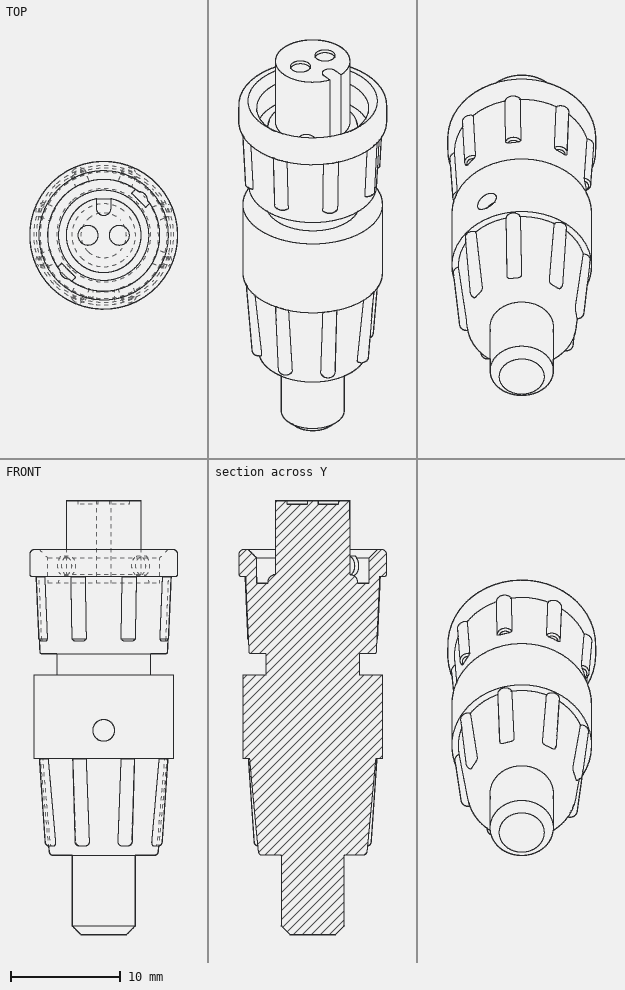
import cadquery as cq

total_length = 39.57
sleeve_bottom = 7.25
collar_bottom = 16.05
collar_top = 23.7
grip_bottom = 25.6
rim_bottom = 32.65
rim_top = 35.15
socket_floor = 32.05

cable_radius = 2.9
cable_chamfer = 0.85

sleeve_bottom_radius = 4.95
sleeve_top_radius = 5.78
sleeve_fillet = 0.4

collar_radius = 6.37
neck_radius = 4.27
collar_hole_radius = 1.0
collar_hole_height = 18.65
collar_hole_depth = 1.2

grip_bottom_radius = 5.8
grip_top_radius = 6.15
grip_fillet = 0.2
rim_diameter = 13.5
rim_radius = rim_diameter / 2
rim_top_fillet = 0.47
rim_bottom_fillet = 0.2

socket_radius = 5.1
socket_mouth_radius = 5.9
socket_mouth_depth = socket_mouth_radius - socket_radius
lug_radius = 0.9
lug_face_distance = 4.5
lug_height = 33.65
lug_angles = (45, 225)

insert_radius = 3.4
boss_radius = 4.1
boss_height = 0.8
contact_radius = 0.9
contact_offset = 1.42
contact_depth = 0.3
key_width = 1.3
key_center_y = 2.45
key_end_y = 3.32

rib_count = 8
rib_pitch = 360 / rib_count
sleeve_rib_radius = 0.67
sleeve_rib_fillet = 0.4
sleeve_rib_bottom = 8.1
sleeve_rib_axis_bottom = 5.03
sleeve_rib_axis_top = 5.6
grip_rib_radius = 0.75
grip_rib_bottom = 26.8
grip_rib_axis_bottom = 5.58
grip_rib_axis_top = 5.85
grip_rib_chamfer = 0.2


def cylinder(radius, bottom, top):
    """Cylinder on the plug axis between two levels."""
    return cq.Workplane("XY").workplane(offset=bottom).circle(radius).extrude(top - bottom)


def cone(bottom_radius, top_radius, bottom, top):
    """Cone frustum on the plug axis between two levels."""
    base = cq.Vector(0, 0, bottom)
    return cq.Workplane(cq.Solid.makeCone(bottom_radius, top_radius, top - bottom, base))


def turned(body, angle):
    """Body turned about the plug axis by an angle in degrees."""
    return body.rotate((0, 0, 0), (0, 0, 1), angle)


def straight_rod(radius, start, end):
    """Round rod between two points."""
    axis = end - start
    return cq.Workplane(cq.Solid.makeCylinder(radius, axis.Length, start, axis))


def with_ribs(body, rib):
    """Join a ring of ribs to a body; the ribs straddle the X and Y directions."""
    for index in range(rib_count):
        angle = (index + 0.5) * rib_pitch
        body = body.union(turned(rib, angle))
    return body


def make_cable():
    cable = cylinder(cable_radius, 0, collar_bottom)
    return cable.faces("<Z").edges().chamfer(cable_chamfer)


def make_sleeve():
    sleeve = cone(sleeve_bottom_radius, sleeve_top_radius, sleeve_bottom, collar_bottom)
    sleeve = sleeve.faces("<Z").edges().fillet(sleeve_fillet)
    rib_start = cq.Vector(sleeve_rib_axis_bottom, 0, sleeve_rib_bottom)
    rib_end = cq.Vector(sleeve_rib_axis_top, 0, collar_bottom)
    rib = straight_rod(sleeve_rib_radius, rib_start, rib_end)
    rib = rib.faces("<Z").edges().fillet(sleeve_rib_fillet)
    return with_ribs(sleeve, rib)


def make_collar():
    """Collar with a blind radial hole on -Y whose floor is concentric with the collar."""
    collar = cylinder(collar_radius, collar_bottom, collar_top)
    hole_start = cq.Vector(0, 0, collar_hole_height)
    hole_end = cq.Vector(0, -collar_radius, collar_hole_height)
    hole = straight_rod(collar_hole_radius, hole_start, hole_end)
    hole = hole.cut(cylinder(collar_radius - collar_hole_depth, collar_bottom, collar_top))
    return collar.cut(hole)


def make_grip():
    grip = cone(grip_bottom_radius, grip_top_radius, grip_bottom, rim_bottom)
    grip = grip.faces("<Z").edges().fillet(grip_fillet)
    rib_start = cq.Vector(grip_rib_axis_bottom, 0, grip_rib_bottom)
    rib_end = cq.Vector(grip_rib_axis_top, 0, rim_bottom)
    rib = straight_rod(grip_rib_radius, rib_start, rib_end)
    rib = rib.faces("<Z").edges().chamfer(grip_rib_chamfer)
    grip = with_ribs(grip, rib)

    rim = cylinder(rim_radius, rim_bottom, rim_top)
    rim = rim.faces(">Z").edges().fillet(rim_top_fillet)
    rim = rim.faces("<Z").edges().fillet(rim_bottom_fillet)
    return grip.union(rim)


def cut_socket(grip):
    """Bore the socket, flare its mouth and add the two flat-ended bayonet lugs."""
    bore = cylinder(socket_radius, socket_floor, rim_top)
    mouth = cone(socket_radius, socket_mouth_radius, rim_top - socket_mouth_depth, rim_top)
    grip = grip.cut(bore).cut(mouth)
    lug_start = cq.Vector(lug_face_distance, 0, lug_height)
    lug_end = cq.Vector(socket_mouth_radius, 0, lug_height)
    lug = straight_rod(lug_radius, lug_start, lug_end)
    for angle in lug_angles:
        grip = grip.union(turned(lug, angle))
    return grip


def make_insert():
    """Round-shouldered boss carrying the insert, with contact recesses and a keyway."""
    boss_top = socket_floor + boss_height
    boss = cylinder(boss_radius, socket_floor, boss_top)
    boss = boss.faces(">Z").edges().fillet(boss_radius - insert_radius)
    insert = boss.union(cylinder(insert_radius, socket_floor, total_length))

    contacts = (
        cq.Workplane("XY")
        .workplane(offset=total_length - contact_depth)
        .pushPoints([(-contact_offset, 0), (contact_offset, 0)])
        .circle(contact_radius)
        .extrude(contact_depth)
    )
    half_key = key_width / 2
    keyway = (
        cq.Workplane("XY")
        .workplane(offset=socket_floor)
        .moveTo(half_key, key_end_y)
        .lineTo(half_key, key_center_y)
        .threePointArc((0, key_center_y - half_key), (-half_key, key_center_y))
        .lineTo(-half_key, key_end_y)
        .close()
        .extrude(total_length - socket_floor)
    )
    key_opening = (
        cq.Workplane("XY")
        .workplane(offset=boss_top)
        .center(0, (key_center_y + insert_radius) / 2)
        .rect(key_width, insert_radius - key_center_y)
        .extrude(total_length - boss_top)
    )
    return insert.cut(contacts).cut(keyway).cut(key_opening)


neck = cylinder(neck_radius, collar_top, grip_bottom)
grip = cut_socket(make_grip())
result = (
    make_cable()
    .union(make_sleeve())
    .union(make_collar())
    .union(neck)
    .union(grip)
    .union(make_insert())
)